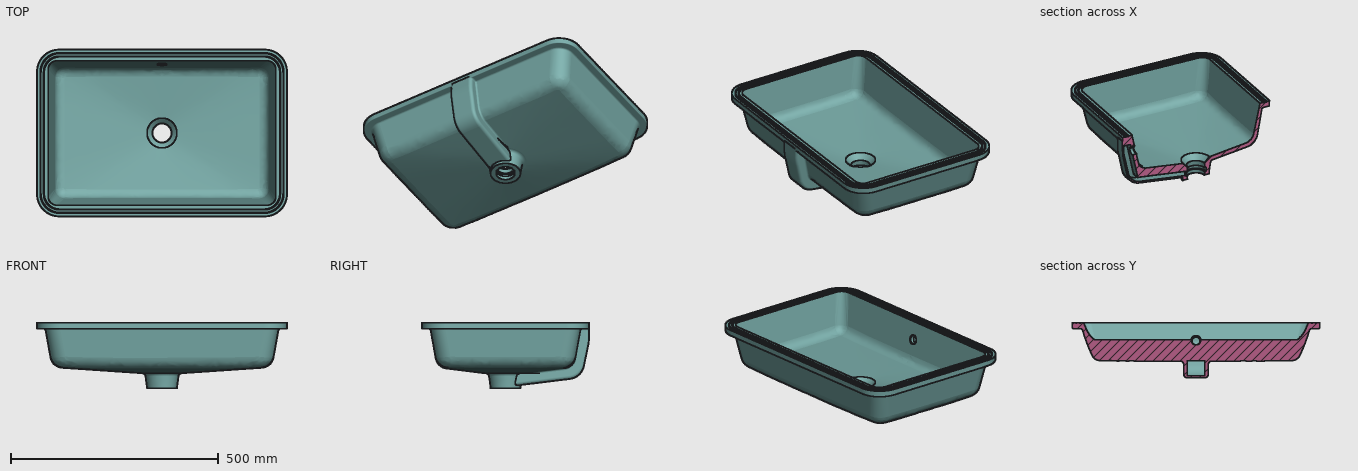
import cadquery as cq
import math


RIM_LENGTH = 602.0
RIM_WIDTH = 402.0
RIM_THICKNESS = 15.0
RIM_CORNER_RADIUS = 54.5
RIM_BOTTOM_ROUND = 2.0
RIM_NECK_FILLET = 4.0
GROOVE_INSETS = (8.0, 16.0)
GROOVE_WIDTH = 2.0
GROOVE_DEPTH = 1.0

OUTER_TOP_INSET = 17.5
OUTER_WALL_SLOPE = 0.18
OUTER_CORNER_RADIUS = 36.0
OUTER_KNEE_DEPTH = 107.5
OUTER_FLOOR_DEPTH = 122.0
OUTER_FLAT_RADIUS = 51.0
OUTER_KNEE_FILLET = 31.5

INNER_TOP_INSET = 27.0
INNER_WALL_SLOPE = 0.22
INNER_CORNER_RADIUS = 22.0
INNER_KNEE_DEPTH = 96.0
INNER_FLOOR_DEPTH = 111.0
INNER_FLAT_RADIUS = 38.0
INNER_KNEE_FILLET = 24.0

FLOOR_SQUARENESS = 6.0
FLOOR_OVERREACH = 1.25
OUTLINE_POINTS = 24

OVERALL_HEIGHT = 158.53
BOSS_BOTTOM_RADIUS = 36.0
BOSS_TOP_RADIUS = 41.0
BOSS_NECK_FILLET = 8.0
BORE_RADIUS = 22.8
SEAT_RADIUS = 36.0
SEAT_DEPTH = 14.0
CHAMBER_RADIUS = 27.0
CHAMBER_TOP_DEPTH = 138.0

CHANNEL_WIDTH = 60.0
CHANNEL_BACK_Y = 201.07
CHANNEL_TOP_DEPTH = 10.0
CHANNEL_BEND_DEPTH = 46.0
CHANNEL_BEND_RADIUS = 95.0
CHANNEL_HEEL_Y = 183.0
CHANNEL_HEEL_DEPTH = 132.5
CHANNEL_HEEL_RADIUS = 40.0
CHANNEL_END_DEPTH = 155.0
CHANNEL_EDGE_ROUND = 8.0
CHANNEL_ROOT_FILLET = 4.0
CHANNEL_ROOT_START_Y = 35.0

OVERFLOW_DIAMETER = 20.0
OVERFLOW_DEPTH = 42.5
OVERFLOW_LIP_CHAMFER = 1.5
PASSAGE_WIDTH = 42.0
PASSAGE_SKIN = 5.0
PASSAGE_TOP_DEPTH = 25.0
PASSAGE_HEIGHT = 10.0
BOWL_WALL = 11.0

MARGIN = 1.0


def box_about(y, depth):
    """Selector for edges crossing the whole part along X at one place."""
    return cq.selectors.BoxSelector(
        (-RIM_LENGTH, y - MARGIN, -depth - MARGIN),
        (RIM_LENGTH, y + MARGIN, -depth + MARGIN),
    )


def inset_wire(inset, corner_radius, depth):
    """Rounded rectangle set in from the rim edge by the same amount all round."""
    outline = cq.Sketch().rect(RIM_LENGTH - 2 * inset, RIM_WIDTH - 2 * inset).vertices().fillet(corner_radius)
    sheet = cq.Workplane("XY", origin=(0, 0, -depth)).placeSketch(outline).extrude(MARGIN)
    return sheet.faces("<Z").wires().val()


def superellipse_wire(half_length, half_width, exponent, depth):
    """Smooth closed outline; exponent 2 gives an ellipse, larger ones are squarer."""
    points = []
    for i in range(OUTLINE_POINTS):
        angle = math.pi / 2 + 2 * math.pi * i / OUTLINE_POINTS
        c = math.cos(angle)
        s = math.sin(angle)
        reach = (abs(c) ** exponent + abs(s) ** exponent) ** (-1 / exponent)
        points.append(cq.Vector(half_length * reach * c, half_width * reach * s, -depth))
    return cq.Wire.assembleEdges([cq.Edge.makeSpline(points, periodic=True)])


def bowl_skin(top_inset, slope, corner, knee_depth, floor_depth, flat_radius, knee_fillet):
    """Solid with tapered walls and a floor that falls to a small flat round the drain."""
    wall_top = inset_wire(top_inset, corner, 0)
    wall_bottom = inset_wire(top_inset + slope * floor_depth, corner, floor_depth)
    walls = cq.Solid.makeLoft([wall_top, wall_bottom], True)

    knee_inset = top_inset + slope * knee_depth
    half_length = RIM_LENGTH / 2 - knee_inset
    half_width = RIM_WIDTH / 2 - knee_inset
    fall = (floor_depth - knee_depth) / (half_length - flat_radius)
    wide_length = half_length * FLOOR_OVERREACH
    wide_width = half_width * FLOOR_OVERREACH
    wide_depth = floor_depth - fall * (wide_length - flat_radius)
    wide = superellipse_wire(wide_length, wide_width, FLOOR_SQUARENESS, wide_depth)
    flat = superellipse_wire(flat_radius, flat_radius, 2, floor_depth)
    above = cq.Solid.extrudeLinear(wide, [], cq.Vector(0, 0, wide_depth))
    floor = cq.Solid.makeLoft([wide, flat], True).fuse(above)

    skin = cq.Workplane(walls).intersect(cq.Workplane(floor))

    def on_knee(edge):
        box = edge.BoundingBox()
        in_lower_half = box.zmax < -floor_depth / 2
        clear_of_flat = box.zmin > -floor_depth + MARGIN
        return in_lower_half and clear_of_flat

    return skin.edges().filter(on_knee).fillet(knee_fillet)


def outer_bowl_with_rim():
    """Outer bowl skin filled solid, carrying the flat rim."""
    bowl = bowl_skin(OUTER_TOP_INSET, OUTER_WALL_SLOPE, OUTER_CORNER_RADIUS, OUTER_KNEE_DEPTH,
                     OUTER_FLOOR_DEPTH, OUTER_FLAT_RADIUS, OUTER_KNEE_FILLET)
    outline = cq.Sketch().rect(RIM_LENGTH, RIM_WIDTH).vertices().fillet(RIM_CORNER_RADIUS)
    rim = cq.Workplane("XY").placeSketch(outline).extrude(-RIM_THICKNESS)
    rim = rim.faces("<Z").edges().fillet(RIM_BOTTOM_ROUND)
    body = bowl.union(rim)
    neck_x = RIM_LENGTH / 2 - OUTER_TOP_INSET
    neck_y = RIM_WIDTH / 2 - OUTER_TOP_INSET
    neck = cq.selectors.BoxSelector(
        (-neck_x, -neck_y, -RIM_THICKNESS - MARGIN), (neck_x, neck_y, -RIM_THICKNESS + MARGIN))
    return body.edges(neck).fillet(RIM_NECK_FILLET)


def add_drain_boss(body):
    """Tapered spigot below the bowl, blended into the floor."""
    boss = (
        cq.Workplane("XZ")
        .moveTo(0, -INNER_FLOOR_DEPTH)
        .lineTo(BOSS_TOP_RADIUS, -INNER_FLOOR_DEPTH)
        .lineTo(BOSS_TOP_RADIUS, -OUTER_FLOOR_DEPTH)
        .lineTo(BOSS_BOTTOM_RADIUS, -OVERALL_HEIGHT)
        .lineTo(0, -OVERALL_HEIGHT)
        .close()
        .revolve()
    )
    neck = cq.selectors.BoxSelector(
        (-BOSS_TOP_RADIUS, -BOSS_TOP_RADIUS, -OUTER_FLOOR_DEPTH - MARGIN),
        (BOSS_TOP_RADIUS, BOSS_TOP_RADIUS, -OUTER_FLOOR_DEPTH + MARGIN))
    body = body.union(boss)
    return body.edges("%CIRCLE").edges(neck).fillet(BOSS_NECK_FILLET)


def slab_from_profile(points, width):
    """Side profile in the YZ plane, thickened equally to both sides of X = 0."""
    return cq.Workplane("YZ").polyline(points).close().extrude(width / 2, both=True)


def overflow_channel():
    """Duct bulging from the back wall and running under the floor to the drain boss."""
    inside_y = RIM_WIDTH / 2 - OUTER_TOP_INSET - OUTER_KNEE_FILLET
    channel = slab_from_profile([
        (CHANNEL_BACK_Y, -CHANNEL_TOP_DEPTH),
        (CHANNEL_BACK_Y, -CHANNEL_BEND_DEPTH),
        (CHANNEL_HEEL_Y, -CHANNEL_HEEL_DEPTH),
        (0, -CHANNEL_END_DEPTH),
        (0, -INNER_FLOOR_DEPTH),
        (inside_y, -INNER_KNEE_DEPTH),
        (inside_y, -CHANNEL_TOP_DEPTH),
    ], CHANNEL_WIDTH)
    channel = channel.edges(box_about(CHANNEL_BACK_Y, CHANNEL_BEND_DEPTH)).fillet(CHANNEL_BEND_RADIUS)
    channel = channel.edges(box_about(CHANNEL_HEEL_Y, CHANNEL_HEEL_DEPTH)).fillet(CHANNEL_HEEL_RADIUS)
    back_edges = cq.selectors.BoxSelector(
        (-RIM_LENGTH, CHANNEL_BACK_Y - MARGIN, -CHANNEL_BEND_DEPTH),
        (RIM_LENGTH, CHANNEL_BACK_Y + MARGIN, -CHANNEL_TOP_DEPTH - MARGIN))
    return channel.edges(back_edges).edges("|Z").fillet(CHANNEL_EDGE_ROUND)


def add_overflow_channel(body):
    """Joins the channel to the bowl with a small fillet along both of its sides."""
    body = body.union(overflow_channel())
    bowl_edge_y = RIM_WIDTH / 2 - OUTER_TOP_INSET + MARGIN

    def on_root(edge):
        box = edge.BoundingBox()
        on_side = abs(abs(edge.Center().x) - CHANNEL_WIDTH / 2) < MARGIN and box.xlen < MARGIN
        on_bowl = box.ymin > CHANNEL_ROOT_START_Y and box.ymax < bowl_edge_y
        return on_side and on_bowl and edge.geomType() == "BSPLINE"

    return body.edges().filter(on_root).fillet(CHANNEL_ROOT_FILLET)


def overflow_passage():
    """Hollow of the channel, from behind the overflow hole to the drain bore."""
    run_slope = (CHANNEL_END_DEPTH - CHANNEL_HEEL_DEPTH) / CHANNEL_HEEL_Y
    back_y = CHANNEL_BACK_Y - PASSAGE_SKIN
    heel_y = CHANNEL_HEEL_Y - PASSAGE_SKIN
    heel_depth = CHANNEL_HEEL_DEPTH - PASSAGE_SKIN
    end_depth = heel_depth + run_slope * heel_y

    def wall_y(depth):
        return RIM_WIDTH / 2 - INNER_TOP_INSET - INNER_WALL_SLOPE * depth + BOWL_WALL

    inner_heel_depth = heel_depth - PASSAGE_HEIGHT
    inner_heel_y = wall_y(inner_heel_depth)
    passage = slab_from_profile([
        (back_y, -PASSAGE_TOP_DEPTH),
        (back_y, -CHANNEL_BEND_DEPTH),
        (heel_y, -heel_depth),
        (0, -end_depth),
        (0, -end_depth + PASSAGE_HEIGHT),
        (inner_heel_y, -inner_heel_depth - run_slope * (heel_y - inner_heel_y)),
        (wall_y(PASSAGE_TOP_DEPTH), -PASSAGE_TOP_DEPTH),
    ], PASSAGE_WIDTH)
    return passage.edges(box_about(heel_y, heel_depth)).fillet(CHANNEL_HEEL_RADIUS - PASSAGE_SKIN)


def overflow_hole():
    """Round hole square to the back wall, with a chamfered lip."""
    wall_y = RIM_WIDTH / 2 - INNER_TOP_INSET - INNER_WALL_SLOPE * OVERFLOW_DEPTH
    normal = cq.Vector(0, 1, -INNER_WALL_SLOPE)
    centre = cq.Vector(0, wall_y, -OVERFLOW_DEPTH)
    radius = OVERFLOW_DIAMETER / 2
    reach = BOWL_WALL + PASSAGE_SKIN
    bore = cq.Solid.makeCylinder(radius, reach, centre, normal)
    lip = cq.Solid.makeCone(radius + OVERFLOW_LIP_CHAMFER, radius, OVERFLOW_LIP_CHAMFER, centre, normal)
    return cq.Workplane(bore.fuse(lip))


def rim_grooves():
    """Two shallow grooves running round the rim top."""
    rings = []
    for inset in GROOVE_INSETS:
        far_inset = inset + GROOVE_WIDTH
        outside = inset_wire(inset, RIM_CORNER_RADIUS - inset, 0)
        inside = inset_wire(far_inset, RIM_CORNER_RADIUS - far_inset, 0)
        rings.append(cq.Solid.extrudeLinear(outside, [inside], cq.Vector(0, 0, -GROOVE_DEPTH)))
    return cq.Workplane(cq.Compound.makeCompound(rings))


def drain_bore():
    """Conical waste seat leading into a straight bore with a ring chamber fed by the passage."""
    down = cq.Vector(0, 0, -1)
    floor = cq.Vector(0, 0, -INNER_FLOOR_DEPTH)
    chamber_top = cq.Vector(0, 0, -CHAMBER_TOP_DEPTH)
    seat = cq.Solid.makeCone(SEAT_RADIUS, BORE_RADIUS, SEAT_DEPTH, floor, down)
    bore = cq.Solid.makeCylinder(BORE_RADIUS, OVERALL_HEIGHT - INNER_FLOOR_DEPTH, floor, down)
    chamber = cq.Solid.makeCylinder(CHAMBER_RADIUS, PASSAGE_HEIGHT, chamber_top, down)
    return cq.Workplane(seat.fuse(bore, chamber))


inner_bowl = bowl_skin(INNER_TOP_INSET, INNER_WALL_SLOPE, INNER_CORNER_RADIUS, INNER_KNEE_DEPTH,
                       INNER_FLOOR_DEPTH, INNER_FLAT_RADIUS, INNER_KNEE_FILLET)

result = add_drain_boss(outer_bowl_with_rim())
result = add_overflow_channel(result)
result = result.cut(inner_bowl)
result = result.cut(overflow_passage())
result = result.cut(overflow_hole())
result = result.cut(drain_bore())
result = result.cut(rim_grooves())